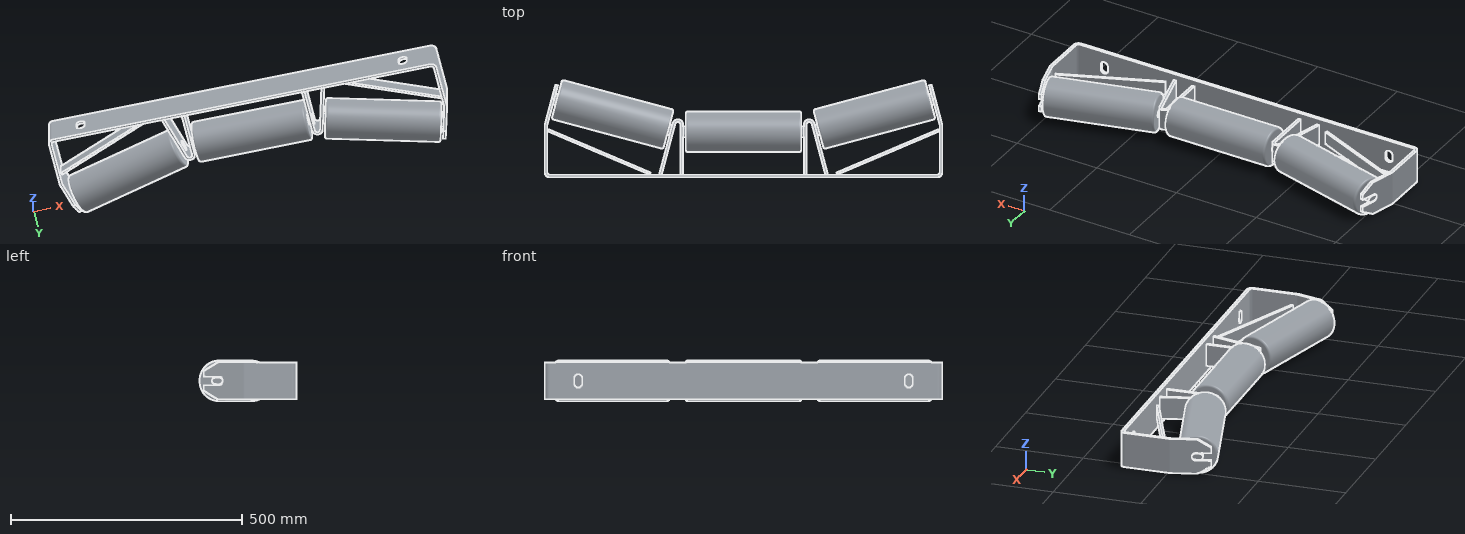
import cadquery as cq
import math

FRAME_LENGTH = 860.0
STRIP_THICKNESS = 6.0
STRIP_WIDTH = 80.0
BRACKET_WIDTH = 50.0
BEND_RADIUS = 9.0
TROUGH_ANGLE = 15.0
END_PLATE_BEND_Y = 113.5
END_PLATE_LENGTH = 89.5
TIP_CHAMFER_LENGTH = 30.0
TIP_CHAMFER_DEPTH = 18.0

BOLT_SLOT_SPACING = 715.0
BOLT_SLOT_LENGTH = 28.0
BOLT_SLOT_WIDTH = 18.0

ROLLER_DIAMETER = 89.0
ROLLER_LENGTH = 250.0
ROLLER_EDGE_RADIUS = 5.0
ROLLER_GAP = 5.0
SHAFT_HEIGHT = 24.0
SHAFT_WIDTH = 14.0
SHAFT_SLOT_WIDTH = 18.0
CENTRE_AXIS_Y = 99.0
SHAFT_SEAT = 59.0

BRACE_WIDTH = 30.0
BRACE_THICKNESS = 5.0
BRACE_ANGLE = 23.0
BRACE_HEAD_Y = 102.0

HALF_STRIP = STRIP_THICKNESS / 2
SIDE_X = FRAME_LENGTH / 2 - HALF_STRIP
TILT_SIN = math.sin(math.radians(TROUGH_ANGLE))
TILT_COS = math.cos(math.radians(TROUGH_ANGLE))
SHAFT_LENGTH = ROLLER_LENGTH + 2 * (ROLLER_GAP + STRIP_THICKNESS)
SEAT_SPACING = SHAFT_LENGTH - STRIP_THICKNESS
SEAT_X = SIDE_X - SHAFT_SEAT * TILT_SIN
SEAT_Y = END_PLATE_BEND_Y + SHAFT_SEAT * TILT_COS
OUTER_ROLLER_X = SEAT_X - SEAT_SPACING / 2 * TILT_COS
OUTER_ROLLER_Y = SEAT_Y - SEAT_SPACING / 2 * TILT_SIN


def strip(points, bend_radius=BEND_RADIUS, width=STRIP_WIDTH, thickness=STRIP_THICKNESS):
    """Flat strip on edge, its width along Z, bent along a line of points in the XY plane."""
    path = cq.Wire.makePolygon([cq.Vector(x, y, 0) for x, y in points])
    corners = path.Vertices()[1:-1]
    if corners:
        path = path.fillet2D(bend_radius, corners)
    start = cq.Vector(*points[0], 0)
    section_plane = cq.Plane(origin=start, xDir=(0, 0, 1), normal=cq.Vector(*points[1], 0) - start)
    return cq.Workplane(section_plane).rect(width, thickness).sweep(cq.Workplane(path))


def make_roller(x, y, angle):
    """Roller and its flat-sided shaft as one body, tilted about Z by the given angle."""
    roller = (
        cq.Workplane("YZ", origin=(-ROLLER_LENGTH / 2, 0, 0))
        .circle(ROLLER_DIAMETER / 2)
        .extrude(ROLLER_LENGTH)
        .faces("<X or >X")
        .edges()
        .fillet(ROLLER_EDGE_RADIUS)
    )
    shaft = (
        cq.Workplane("YZ", origin=(-SHAFT_LENGTH / 2, 0, 0))
        .slot2D(SHAFT_HEIGHT, SHAFT_WIDTH)
        .extrude(SHAFT_LENGTH)
    )
    return roller.union(shaft).rotate((0, 0, 0), (0, 0, 1), angle).translate((x, y, 0))


def end_plate_waste():
    """Material removed from the right-hand end plate: both tip corners and the open shaft slot."""
    plate = cq.Workplane(
        cq.Plane(
            origin=(SIDE_X, END_PLATE_BEND_Y, 0),
            xDir=(-TILT_SIN, TILT_COS, 0),
            normal=(TILT_COS, TILT_SIN, 0),
        )
    )
    slot_radius = SHAFT_SLOT_WIDTH / 2
    slot_bottom = SHAFT_SEAT - SHAFT_HEIGHT / 2
    waste = (
        plate.moveTo(END_PLATE_LENGTH, slot_radius)
        .lineTo(slot_bottom + slot_radius, slot_radius)
        .threePointArc((slot_bottom, 0), (slot_bottom + slot_radius, -slot_radius))
        .lineTo(END_PLATE_LENGTH, -slot_radius)
        .close()
        .extrude(STRIP_THICKNESS, both=True)
    )
    for side in (-1, 1):
        edge = side * STRIP_WIDTH / 2
        corner = plate.polyline(
            [
                (END_PLATE_LENGTH - TIP_CHAMFER_LENGTH, edge),
                (END_PLATE_LENGTH, edge),
                (END_PLATE_LENGTH, edge - side * TIP_CHAMFER_DEPTH),
            ]
        )
        waste = waste.union(corner.close().extrude(STRIP_THICKNESS, both=True))
    return waste


def make_frame():
    """Base strip bent up at both ends, with bolt slots, shaft slots and chamfered tips."""
    tip_x = SIDE_X - END_PLATE_LENGTH * TILT_SIN
    tip_y = END_PLATE_BEND_Y + END_PLATE_LENGTH * TILT_COS
    right_half = [(SIDE_X, HALF_STRIP), (SIDE_X, END_PLATE_BEND_Y), (tip_x, tip_y)]
    left_half = [(-x, y) for x, y in reversed(right_half)]
    frame = strip(left_half + right_half)

    bolt_slots = (
        cq.Workplane("XZ")
        .pushPoints([(-BOLT_SLOT_SPACING / 2, 0), (BOLT_SLOT_SPACING / 2, 0)])
        .slot2D(BOLT_SLOT_LENGTH, BOLT_SLOT_WIDTH, 90)
        .extrude(-STRIP_THICKNESS)
    )
    waste = end_plate_waste()
    return frame.cut(bolt_slots).cut(waste).cut(waste.mirror("YZ"))


def make_bracket(rollers):
    """Right-hand folded bracket: an upright leg and a tilted leg, each with a hole fitting a shaft."""
    upright_x = SEAT_SPACING / 2
    tilted_seat_x = SEAT_X - SEAT_SPACING * TILT_COS
    tilted_seat_y = SEAT_Y - SEAT_SPACING * TILT_SIN
    tilted_foot_x = tilted_seat_x + tilted_seat_y * TILT_SIN / TILT_COS
    fold_y = (tilted_foot_x - upright_x) * TILT_COS / TILT_SIN
    bracket = strip([(upright_x, 0), (upright_x, fold_y), (tilted_foot_x, 0)], width=BRACKET_WIDTH)
    base = cq.Workplane("XY").box(FRAME_LENGTH, 2 * STRIP_THICKNESS, STRIP_WIDTH)
    bracket = bracket.cut(base)
    for roller in rollers:
        bracket = bracket.cut(roller)
    return bracket


def make_brace():
    """Right-hand flat brace, square-ended, touching the base and the end plate with its lower corners."""
    slope = math.radians(BRACE_ANGLE)
    foot_y = STRIP_THICKNESS + BRACE_THICKNESS / 2 * math.cos(slope)
    head_x = FRAME_LENGTH / 2 - STRIP_THICKNESS - BRACE_THICKNESS / 2 * math.sin(slope)
    foot_x = head_x - (BRACE_HEAD_Y - foot_y) / math.tan(slope)
    return strip([(foot_x, foot_y), (head_x, BRACE_HEAD_Y)], width=BRACE_WIDTH, thickness=BRACE_THICKNESS)


rollers = [
    make_roller(-OUTER_ROLLER_X, OUTER_ROLLER_Y, -TROUGH_ANGLE),
    make_roller(0, CENTRE_AXIS_Y, 0),
    make_roller(OUTER_ROLLER_X, OUTER_ROLLER_Y, TROUGH_ANGLE),
]
frame = make_frame()
right_bracket = make_bracket(rollers)
right_brace = make_brace()
brackets = [right_bracket, right_bracket.mirror("YZ")]
braces = [right_brace, right_brace.mirror("YZ")]

bodies = [frame, *rollers, *brackets, *braces]
result = cq.Compound.makeCompound([body.val() for body in bodies])